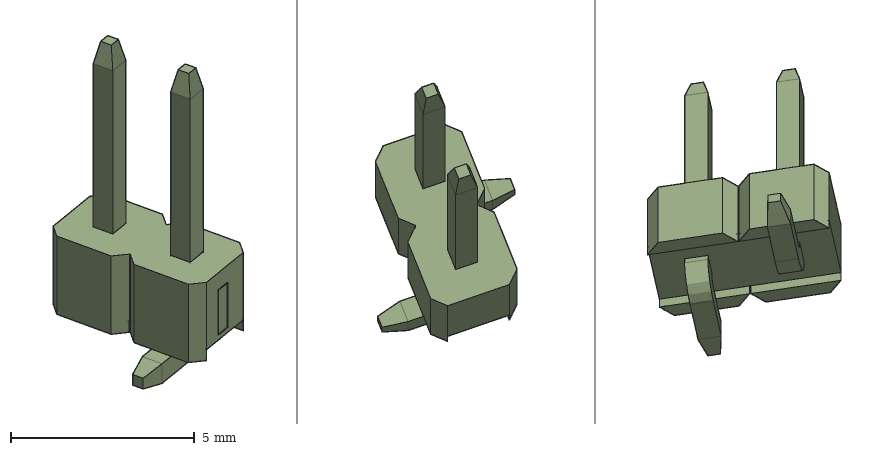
import cadquery as cq

total_height = 9.2
foot_span = 4.8
overall_length = 5.05

pitch = 2.54
pin_size = 0.64
tip_size = 0.35
tip_length = 0.7
bend_radius = 0.175 + pin_size / 2
foot_axis_z = pin_size / 2
post_end_z = total_height - tip_length
foot_end_y = foot_span / 2 - tip_length

housing_length = 5.03
housing_width = 2.51
housing_height = 2.55
housing_bottom = pin_size
corner_cut = 0.36
groove_floor = 0.03
channel_width = housing_width - 2 * corner_cut
channel_depth = 0.36

pad_width = 0.46
pad_height = 1.45
pad_thickness = overall_length - housing_length
pad_y = -0.12
pad_z = housing_bottom + housing_height / 2


def make_pin(x, foot_direction):
    """Upright pin at x, its foot pointing to +Y (1) or -Y (-1)."""
    axis = (
        cq.Workplane("YZ")
        .moveTo(0, post_end_z)
        .lineTo(0, foot_axis_z + bend_radius)
        .radiusArc((bend_radius, foot_axis_z), -bend_radius)
        .lineTo(foot_end_y, foot_axis_z)
    )
    bar = cq.Workplane("XY", origin=(0, 0, post_end_z)).rect(pin_size, pin_size).sweep(axis)
    post_tip = make_tip(cq.Plane((0, 0, post_end_z), (1, 0, 0), (0, 0, 1)))
    foot_tip = make_tip(cq.Plane((0, foot_end_y, foot_axis_z), (1, 0, 0), (0, 1, 0)))
    pin = bar.union(post_tip).union(foot_tip)
    if foot_direction < 0:
        pin = pin.rotate((0, 0, 0), (0, 0, 1), 180)
    return pin.translate((x, 0, 0))


def make_tip(base_plane):
    """Tapered pin end standing on base_plane."""
    return (
        cq.Workplane(base_plane)
        .rect(pin_size, pin_size)
        .workplane(offset=tip_length)
        .rect(tip_size, tip_size)
        .loft()
    )


def make_block():
    """Housing block with chamfered corners and a V groove at the waist on each side."""
    half_length = housing_length / 2
    half_width = housing_width / 2
    cut_y = half_width - corner_cut
    half_floor = groove_floor / 2
    side = [
        (half_length, cut_y),
        (half_length - corner_cut, half_width),
        (half_floor + corner_cut, half_width),
        (half_floor, cut_y),
        (-half_floor, cut_y),
        (-half_floor - corner_cut, half_width),
        (-half_length + corner_cut, half_width),
        (-half_length, cut_y),
    ]
    opposite_side = [(-x, -y) for x, y in side]
    return (
        cq.Workplane("XY", origin=(0, 0, housing_bottom))
        .polyline(side + opposite_side)
        .close()
        .extrude(housing_height)
    )


def make_channel():
    return (
        cq.Workplane("XY", origin=(0, 0, housing_bottom))
        .rect(housing_length, channel_width)
        .extrude(channel_depth)
    )


def make_pad():
    pad_x = (housing_length + pad_thickness) / 2
    return cq.Workplane("XY", origin=(pad_x, pad_y, pad_z)).box(pad_thickness, pad_width, pad_height)


loose_pin = make_pin(pitch / 2, -1)

fixed_pin = make_pin(-pitch / 2, 1)
housing = make_block().cut(make_channel()).union(make_pad()).union(fixed_pin).cut(loose_pin)

result = cq.Compound.makeCompound([housing.solids().val(), loose_pin.solids().val()])